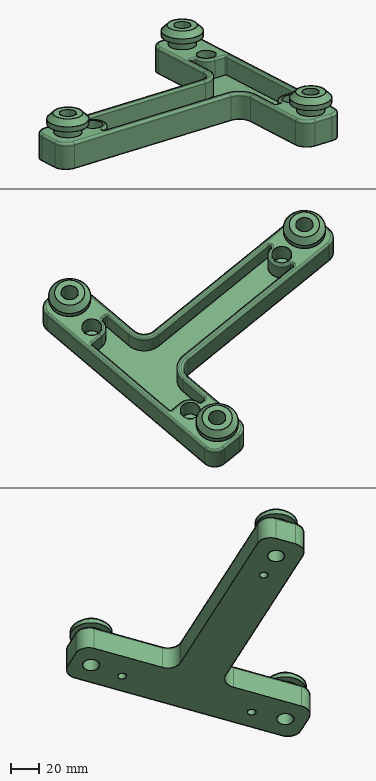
import cadquery as cq
import math

bar_length = 180.0
total_length = 195.0
total_height = 35.0
plate_height = 20.0
arm_width = 35.0
corner_radius = 10.0
outer_edge_round = 2.0

wall = 5.0
floor_thickness = 5.0
boss_radius = 10.0
pocket_corner_radius = 1.0
pocket_edge_round = 1.5

screw_hole_diameter = 6.0
counterbore_diameter = 14.0
bar_screw_spacing = 100.0
bar_screw_inset = 15.0
stem_screw_inset = 40.0

head_diameter = 30.0
head_top_diameter = 21.5
neck_diameter = 20.0
neck_height = 6.6
rim_height = 3.9
pin_bore_diameter = 12.0

far_y = total_length / 2
near_y = -total_length / 2
bar_near_y = far_y - arm_width
half_bar = bar_length / 2
half_arm = arm_width / 2

bar_screw_x = bar_screw_spacing / 2
bar_screw_y = far_y - bar_screw_inset
stem_screw_y = near_y + stem_screw_inset
screw_points = [(-bar_screw_x, bar_screw_y), (bar_screw_x, bar_screw_y), (0, stem_screw_y)]

bar_pin_x = half_bar - head_diameter / 2
bar_pin_y = far_y - half_arm
stem_pin_y = near_y + half_arm
pin_points = [(-bar_pin_x, bar_pin_y), (bar_pin_x, bar_pin_y), (0, stem_pin_y)]


def make_plate():
    """T-shaped block with rounded vertical corners and a rounded top edge."""
    bar = cq.Workplane("XY").box(bar_length, arm_width, plate_height, centered=(True, False, False))
    bar = bar.translate((0, bar_near_y, 0))
    stem = cq.Workplane("XY").box(arm_width, total_length, plate_height, centered=(True, True, False))
    plate = bar.union(stem).clean()
    plate = plate.edges("|Z").fillet(corner_radius)
    return plate.faces(">Z").edges().fillet(outer_edge_round)


def make_pocket_cutter():
    """Pocket that keeps an even wall along the T and bulges around the screw holes."""
    diagonal = math.sqrt(0.5)
    wide_x = bar_screw_x - boss_radius
    stem_x = half_arm - wall
    pocket_far_y = far_y - wall
    pocket_near_y = bar_near_y + wall
    bend_radius = corner_radius + wall
    bend_x = stem_x + bend_radius
    bend_y = pocket_near_y - bend_radius
    boss_diagonal = boss_radius * diagonal
    bend_diagonal = bend_radius * diagonal

    outline = (
        cq.Workplane("XY", origin=(0, 0, floor_thickness))
        .moveTo(-wide_x, pocket_far_y)
        .lineTo(wide_x, pocket_far_y)
        .lineTo(wide_x, bar_screw_y)
        .threePointArc(
            (bar_screw_x - boss_diagonal, bar_screw_y - boss_diagonal),
            (bar_screw_x, bar_screw_y - boss_radius),
        )
        .lineTo(bar_screw_x, pocket_near_y)
        .lineTo(bend_x, pocket_near_y)
        .threePointArc((bend_x - bend_diagonal, bend_y + bend_diagonal), (stem_x, bend_y))
        .lineTo(stem_x, stem_screw_y)
        .lineTo(boss_radius, stem_screw_y)
        .threePointArc((0, stem_screw_y + boss_radius), (-boss_radius, stem_screw_y))
        .lineTo(-stem_x, stem_screw_y)
        .lineTo(-stem_x, bend_y)
        .threePointArc((-bend_x + bend_diagonal, bend_y + bend_diagonal), (-bend_x, pocket_near_y))
        .lineTo(-bar_screw_x, pocket_near_y)
        .lineTo(-bar_screw_x, bar_screw_y - boss_radius)
        .threePointArc(
            (-bar_screw_x + boss_diagonal, bar_screw_y - boss_diagonal),
            (-wide_x, bar_screw_y),
        )
        .close()
    )
    cutter = outline.extrude(plate_height - floor_thickness)
    sharp_corners = [
        (side * x, y)
        for side in (-1, 1)
        for x, y in (
            (wide_x, pocket_far_y),
            (bar_screw_x, bar_screw_y - boss_radius),
            (bar_screw_x, pocket_near_y),
            (stem_x, stem_screw_y),
            (boss_radius, stem_screw_y),
        )
    ]
    mid_z = (plate_height + floor_thickness) / 2
    corner_edges = cutter.newObject([
        cutter.edges(cq.selectors.NearestToPointSelector((x, y, mid_z))).val()
        for x, y in sharp_corners
    ])
    return corner_edges.fillet(pocket_corner_radius)


def cut_pocket(plate):
    """Sink the pocket and round the edge where it opens in the top face."""
    plate = plate.cut(make_pocket_cutter())
    opening = plate.faces(">Z").val().innerWires()[0]
    return plate.newObject(opening.Edges()).fillet(pocket_edge_round)


def make_pin():
    """Turned pin standing on the plate: neck, straight rim, tapered head."""
    rim_bottom = plate_height + neck_height
    rim_top = rim_bottom + rim_height
    profile = [
        (0, plate_height),
        (neck_diameter / 2, plate_height),
        (neck_diameter / 2, rim_bottom),
        (head_diameter / 2, rim_bottom),
        (head_diameter / 2, rim_top),
        (head_top_diameter / 2, total_height),
        (0, total_height),
    ]
    return cq.Workplane("XZ").polyline(profile).close().revolve(360, (0, 0, 0), (0, 1, 0))


def round_cutter(points, diameter, bottom_z):
    """Vertical cylinders from bottom_z to the top of the part."""
    base = cq.Workplane("XY", origin=(0, 0, bottom_z)).pushPoints(points)
    return base.circle(diameter / 2).extrude(total_height - bottom_z)


result = cut_pocket(make_plate())

result = result.cut(round_cutter(screw_points, screw_hole_diameter, 0))
result = result.cut(round_cutter(screw_points, counterbore_diameter, floor_thickness))

for pin_x, pin_y in pin_points:
    result = result.union(make_pin().translate((pin_x, pin_y, 0)))
result = result.cut(round_cutter(pin_points, pin_bore_diameter, 0))